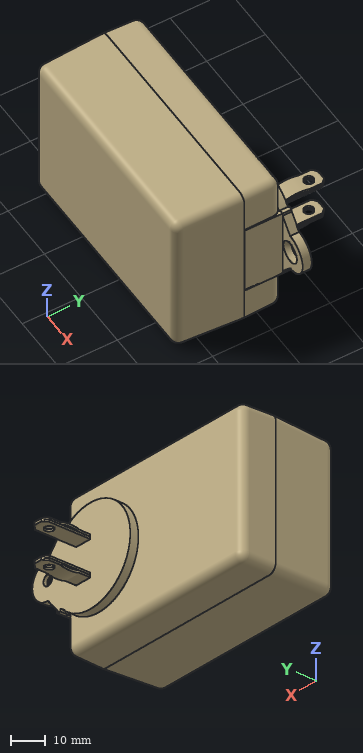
import cadquery as cq
import math


OVERALL_WIDTH = 89.6

HOUSING_WIDTH = 78.3
HOUSING_HEIGHT = 52.95
FRONT_DEPTH = 23.2
REAR_DEPTH = 12.8
FRONT_DRAFT = 2.0
REAR_DRAFT = 1.2
EDGE_RADIUS = 3.0
SEAM_RIM = 0.3

LUG_INNER_X = 38.0
LUG_OUTER_X = 39.4
LUG_HALF_HEIGHT = 12.7
LUG_BLEND_RADIUS = 0.4

PLATE_THICKNESS = 3.1
DISC_X = 24.55
DISC_RADIUS = 17.65
TAB_RADIUS = 6.9
TAB_X = OVERALL_WIDTH - HOUSING_WIDTH / 2 - TAB_RADIUS
TAB_ROOT_HALF_HEIGHT = 11.7
SCREW_DIAMETER = 3.85
COUNTERSINK_DIAMETER = 7.35
COUNTERSINK_ANGLE = 90

BLADE_X = 27.8
BLADE_SPACING = 12.7
BLADE_WIDTH = 6.3
BLADE_LENGTH = 17.3
LEAF = 0.8
SLIT = 0.1
BOW_CENTRE = 7.7
BOW_HALF_LENGTH = 3.7
BOW_RISE = 0.5
TIP_BEVEL_LENGTH = 0.9
TIP_BEVEL_DEPTH = 0.3
TIP_CHAMFER = 1.6
BLADE_HOLE_DIAMETER = 3.2
BLADE_HOLE_OFFSET = 13.0

PLATE_BACK = REAR_DEPTH + PLATE_THICKNESS


def drafted_block(depth, draft, rim=0):
    """Block growing from the seam toward +Y: a straight rim, then drafted walls, rounded off the seam."""
    block = (
        cq.Workplane("ZX", origin=(0, rim, 0))
        .rect(HOUSING_HEIGHT, HOUSING_WIDTH)
        .extrude(depth - rim, taper=draft)
    )
    block = block.edges("not <Y").fillet(EDGE_RADIUS)
    if rim > 0:
        block = block.faces("<Y").wires().toPending().workplane().extrude(rim)
    return block


def lug_block(inner_x, start_y, end_y):
    """Upright block that gives the lug its outer face."""
    return cq.Workplane("XY").box(
        LUG_OUTER_X - inner_x, end_y - start_y, 2 * LUG_HALF_HEIGHT, centered=(False, False, True)
    ).translate((inner_x, start_y, 0))


def make_front_shell():
    return drafted_block(FRONT_DEPTH, FRONT_DRAFT, SEAM_RIM).mirror("XZ")


def make_rear_shell():
    lug = lug_block(LUG_INNER_X, 0, REAR_DEPTH)
    return drafted_block(REAR_DEPTH, REAR_DRAFT).union(lug)


def make_mounting_plate():
    rear_face = cq.Workplane("ZX", origin=(0, REAR_DEPTH, 0))
    disc = rear_face.center(0, DISC_X).circle(DISC_RADIUS).extrude(PLATE_THICKNESS)
    disc = disc.union(lug_block(LUG_INNER_X, REAR_DEPTH, PLATE_BACK))
    corner_height = math.sqrt(DISC_RADIUS**2 - (LUG_INNER_X - DISC_X) ** 2)
    for height in (corner_height, -corner_height):
        corner = cq.selectors.NearestToPointSelector((LUG_INNER_X, REAR_DEPTH + PLATE_THICKNESS / 2, height))
        disc = disc.edges(corner).fillet(LUG_BLEND_RADIUS)

    tab = (
        rear_face.moveTo(-TAB_ROOT_HALF_HEIGHT, LUG_OUTER_X)
        .lineTo(-TAB_RADIUS, TAB_X)
        .threePointArc((0, TAB_X + TAB_RADIUS), (TAB_RADIUS, TAB_X))
        .lineTo(TAB_ROOT_HALF_HEIGHT, LUG_OUTER_X)
        .close()
        .extrude(PLATE_THICKNESS)
    )
    return (
        disc.union(tab)
        .faces("<Y").workplane(origin=(TAB_X, REAR_DEPTH, 0))
        .cskHole(SCREW_DIAMETER, COUNTERSINK_DIAMETER, COUNTERSINK_ANGLE)
    )


def make_blade(side):
    """Blade above (side = 1) or below (side = -1) the middle, with its bowed leaf facing outward."""
    profile_plane = cq.Workplane("YZ", origin=(BLADE_X, PLATE_BACK, BLADE_SPACING / 2))
    bevel_start = BLADE_LENGTH - TIP_BEVEL_LENGTH
    tip_half = LEAF - TIP_BEVEL_DEPTH
    strip = (
        profile_plane.moveTo(0, -LEAF)
        .lineTo(bevel_start, -LEAF)
        .lineTo(BLADE_LENGTH, -tip_half)
        .lineTo(BLADE_LENGTH, tip_half)
        .lineTo(bevel_start, LEAF)
        .lineTo(BOW_CENTRE + BOW_HALF_LENGTH, LEAF)
        .threePointArc((BOW_CENTRE, LEAF + BOW_RISE), (BOW_CENTRE - BOW_HALF_LENGTH, LEAF))
        .lineTo(0, LEAF)
        .close()
        .extrude(BLADE_WIDTH / 2, both=True)
    )
    strip = strip.edges("|Z and >Y").chamfer(TIP_CHAMFER)

    bow_radius = (BOW_HALF_LENGTH**2 + BOW_RISE**2) / (2 * BOW_RISE)
    inner_radius = bow_radius - LEAF
    inner_half = math.sqrt(inner_radius**2 - (inner_radius - BOW_RISE + SLIT / 2) ** 2)
    slit = (
        profile_plane.moveTo(0, -SLIT / 2)
        .lineTo(BLADE_LENGTH - LEAF, -SLIT / 2)
        .lineTo(BLADE_LENGTH - LEAF, SLIT / 2)
        .lineTo(BOW_CENTRE + inner_half, SLIT / 2)
        .threePointArc((BOW_CENTRE, BOW_RISE), (BOW_CENTRE - inner_half, SLIT / 2))
        .lineTo(0, SLIT / 2)
        .close()
        .extrude(BLADE_WIDTH / 2, both=True)
    )
    hole = (
        cq.Workplane("XY", origin=(BLADE_X, PLATE_BACK + BLADE_HOLE_OFFSET, BLADE_SPACING / 2))
        .circle(BLADE_HOLE_DIAMETER / 2)
        .extrude(LEAF, both=True)
    )
    blade = strip.cut(slit).cut(hole)
    return blade if side > 0 else blade.mirror("XY")


front_shell = make_front_shell()
rear_shell = make_rear_shell()
mounting_plate = make_mounting_plate()
blades = [make_blade(side) for side in (1, -1)]

result = cq.Compound.makeCompound([
    front_shell.val(),
    rear_shell.val(),
    mounting_plate.val(),
    *[blade.val() for blade in blades],
])